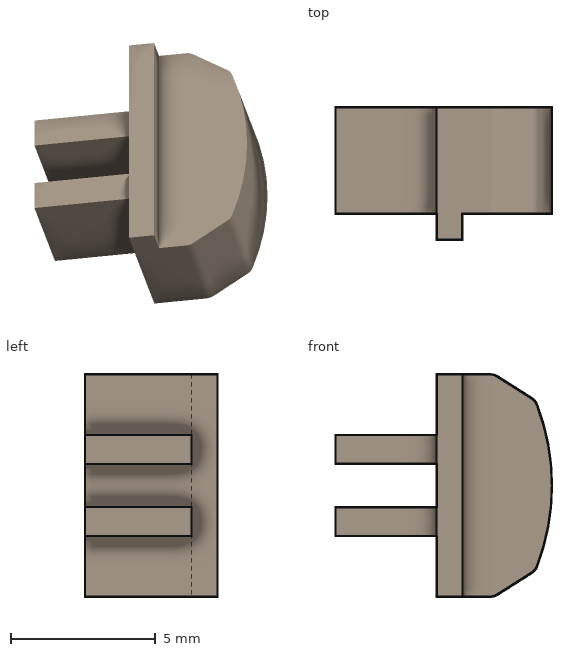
import cadquery as cq

height = 7.7
depth = 4.6
lip = 0.9
plate_thickness = 0.885
pin_length = 3.5
pin_thickness = 1.0
pin_pitch = 2.5
dome_reach = 3.99

shoulder_x = 1.98
rim_x = 3.41
rim_half_height = 2.94
corner_radius = 0.5

half_height = height / 2
body_depth = depth - lip


def box(x_start, y_start, z_start, length, width, tall):
    """Box placed by its minimum corner."""
    return cq.Workplane("XY").box(length, width, tall, centered=False).translate((x_start, y_start, z_start))


def domed_body():
    """Profile in XZ, extruded along +Y, with softened shoulder and rim edges."""
    body = (
        cq.Workplane("XZ")
        .moveTo(0, -half_height)
        .lineTo(shoulder_x, -half_height)
        .lineTo(rim_x, -rim_half_height)
        .threePointArc((dome_reach, 0), (rim_x, rim_half_height))
        .lineTo(shoulder_x, half_height)
        .lineTo(0, half_height)
        .close()
        .extrude(-body_depth)
    )
    return body.edges("|Y and (not <X)").fillet(corner_radius)


plate = box(0, -lip, -half_height, plate_thickness, depth, height)
result = domed_body().union(plate)

for side in (-1, 1):
    pin_bottom = side * pin_pitch / 2 - pin_thickness / 2
    result = result.union(box(-pin_length, 0, pin_bottom, pin_length, body_depth, pin_thickness))